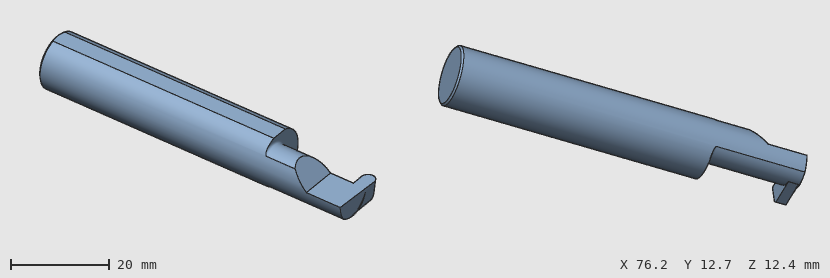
import cadquery as cq
import math

overall_length = 76.2
shank_diameter = 12.7
shank_radius = shank_diameter / 2
shank_length = 55.9
shank_flat_height = 6.04
shank_end_chamfer = 0.4

neck_radius = 4.5
neck_edge_y = 1.93
neck_axis_y = neck_edge_y - neck_radius
neck_root_fillet = 0.6

rake_face_z = 0.0
ramp_end_x = 67.3
ramp_start_x = ramp_end_x - (neck_radius - rake_face_z)

hook_width = 3.175
hook_tip_radius = hook_width / 2
hook_tip_y = shank_radius
hook_round_y = hook_tip_y - hook_tip_radius
hook_inner_x = overall_length - hook_width
end_relief_angle = 2.0
side_clearance_angle = 6.0


def x_cylinder(radius, axis_y, start_x, end_x):
    """Solid cylinder parallel to X."""
    return (
        cq.Workplane("YZ", origin=(start_x, axis_y, 0))
        .circle(radius)
        .extrude(end_x - start_x)
    )


def make_shank():
    """Chamfered round bar with a clamping flat along its top."""
    bar = x_cylinder(shank_radius, 0, 0, shank_length)
    bar = bar.faces("<X").chamfer(shank_end_chamfer)
    above_flat = (
        cq.Workplane("XY", origin=(0, 0, shank_flat_height))
        .rect(2 * shank_length, shank_diameter)
        .extrude(shank_radius)
    )
    return bar.cut(above_flat)


def make_neck():
    """Eccentric bar with a filleted root."""
    fillet_end_x = shank_length + neck_root_fillet
    flare_radius = neck_radius + neck_root_fillet
    fillet_mid_offset = neck_root_fillet / math.sqrt(2)
    fillet_mid_x = fillet_end_x - fillet_mid_offset
    fillet_mid_radius = flare_radius - fillet_mid_offset
    return (
        cq.Workplane("XY", origin=(0, neck_axis_y, 0))
        .moveTo(shank_length, 0)
        .lineTo(shank_length, flare_radius)
        .threePointArc((fillet_mid_x, fillet_mid_radius), (fillet_end_x, neck_radius))
        .lineTo(overall_length, neck_radius)
        .lineTo(overall_length, 0)
        .close()
        .revolve(360, (0, 0, 0), (1, 0, 0))
    )


def make_hook():
    """Round-nosed hook below the rake face, drafted for side clearance."""
    return (
        cq.Workplane("XY", origin=(0, 0, rake_face_z))
        .moveTo(hook_inner_x, neck_axis_y)
        .lineTo(hook_inner_x, hook_round_y)
        .threePointArc(
            (hook_inner_x + hook_tip_radius, hook_tip_y),
            (overall_length, hook_round_y),
        )
        .lineTo(overall_length, neck_axis_y)
        .close()
        .extrude(-neck_radius, taper=side_clearance_angle)
    )


def make_ramp_cutter():
    """Everything above the 45 degree ramp and the rake face."""
    return (
        cq.Workplane("XZ")
        .moveTo(ramp_start_x, neck_radius)
        .lineTo(ramp_end_x, rake_face_z)
        .lineTo(overall_length, rake_face_z)
        .lineTo(overall_length, neck_radius)
        .close()
        .extrude(shank_diameter, both=True)
    )


def make_end_relief_cutter():
    """Wedge that leans the end face back from the hook towards -Y."""
    wedge_length = hook_round_y + shank_radius
    wedge_depth = wedge_length * math.tan(math.radians(end_relief_angle))
    return (
        cq.Workplane("XY")
        .moveTo(overall_length, hook_round_y)
        .lineTo(overall_length - wedge_depth, -shank_radius)
        .lineTo(overall_length, -shank_radius)
        .close()
        .extrude(shank_radius, both=True)
    )


head_envelope = x_cylinder(shank_radius, 0, shank_length, overall_length)
head = make_neck().cut(make_ramp_cutter())
head = head.union(make_hook())
head = head.intersect(head_envelope)
head = head.cut(make_end_relief_cutter())

result = make_shank().union(head)